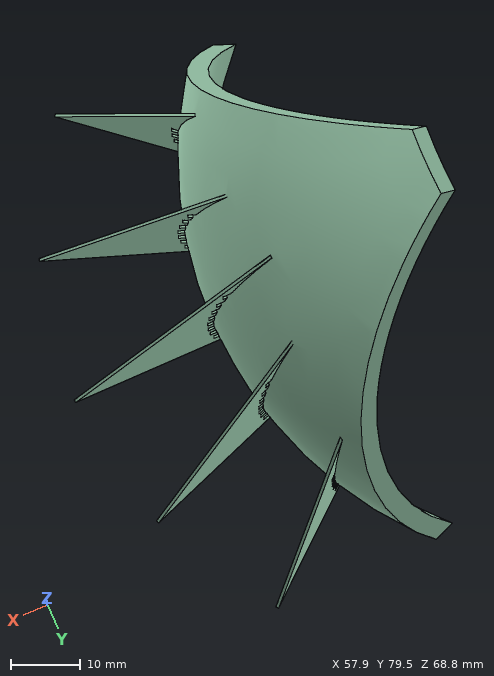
import cadquery as cq
import math

ball_x = -24.0
ball_z = 14.95
outer_radius = 60.0
wall = 3.0
inner_radius = outer_radius - wall

wedge_half_angle = 30
wedge_apex = 55.8
wedge_top = 46.9
wedge_foot = -23.85
sweep_length = 95.4
space = 4 * outer_radius

fin_axis_x = -3.65
fin_base_radius = 61.55
fin_tip_radius = 30.5
fin_slope_angle = 56.6
fin_thickness = 0.5
root_radius = outer_radius - wall / 2
notch_counts = {0: 8, 20: 7, -20: 7, 40: 4, -40: 4}

notch_height = 2.0
first_notch_z = 3.0
notch_pitch = 2 * notch_height
notch_depth = 0.95


def ball(radius):
    return cq.Workplane("XY").sphere(radius).translate((ball_x, 0, ball_z))


def half_width(height):
    """Half the width of the wedge at a height along its centre line."""
    return (wedge_apex - height) * math.tan(math.radians(wedge_half_angle))


def make_shell():
    """Return the part of the hollow ball inside the wedge and above the base."""
    sweep_plane = cq.Plane(origin=(0, 0, 0), xDir=(0, 1, 0), normal=(1, 0, 1))
    wedge = (
        cq.Workplane(sweep_plane)
        .polyline([
            (-half_width(wedge_foot), wedge_foot),
            (half_width(wedge_foot), wedge_foot),
            (half_width(wedge_top), wedge_top),
            (-half_width(wedge_top), wedge_top),
        ])
        .close()
        .extrude(sweep_length)
    )
    above_base = cq.Workplane("XY").box(space, space, space, centered=(True, True, False))
    return ball(outer_radius).cut(ball(inner_radius)).intersect(wedge).intersect(above_base)


def distance_to_shell(angle, height):
    """Distance from the fins' axis to the shell's outer face, at an angle and a height."""
    offset = fin_axis_x - ball_x
    along = offset * math.cos(math.radians(angle))
    across = offset * math.sin(math.radians(angle))
    return math.sqrt(outer_radius**2 - (height - ball_z) ** 2 - across**2) - along


def make_notches(angle, count):
    """Return the row of notches of one fin, lying along +X."""
    notches = cq.Workplane("XY")
    notch_width = 2 * fin_thickness
    for index in range(count):
        middle_z = first_notch_z + index * notch_pitch + notch_height / 2
        notch_end = distance_to_shell(angle, middle_z) + notch_depth
        notch = (
            cq.Workplane("XY")
            .box(notch_end, notch_width, notch_height, centered=(False, True, True))
            .translate((0, 0, middle_z))
        )
        notches = notches.add(notch)
    return notches.combine()


def make_fin(angle, count):
    """Return one triangular fin, turned by its angle and rooted in the wall."""
    tip_z = (fin_base_radius - fin_tip_radius) * math.tan(math.radians(fin_slope_angle))
    blank = (
        cq.Workplane("XZ")
        .polyline([(fin_tip_radius, 0), (fin_base_radius, 0), (fin_tip_radius, tip_z)])
        .close()
        .extrude(fin_thickness / 2, both=True)
    )
    fin = (
        blank.cut(make_notches(angle, count))
        .rotate((0, 0, 0), (0, 0, 1), angle)
        .translate((fin_axis_x, 0, 0))
    )
    return fin.cut(ball(root_radius))


result = make_shell()
for fin_angle, notch_count in notch_counts.items():
    result = result.union(make_fin(fin_angle, notch_count))